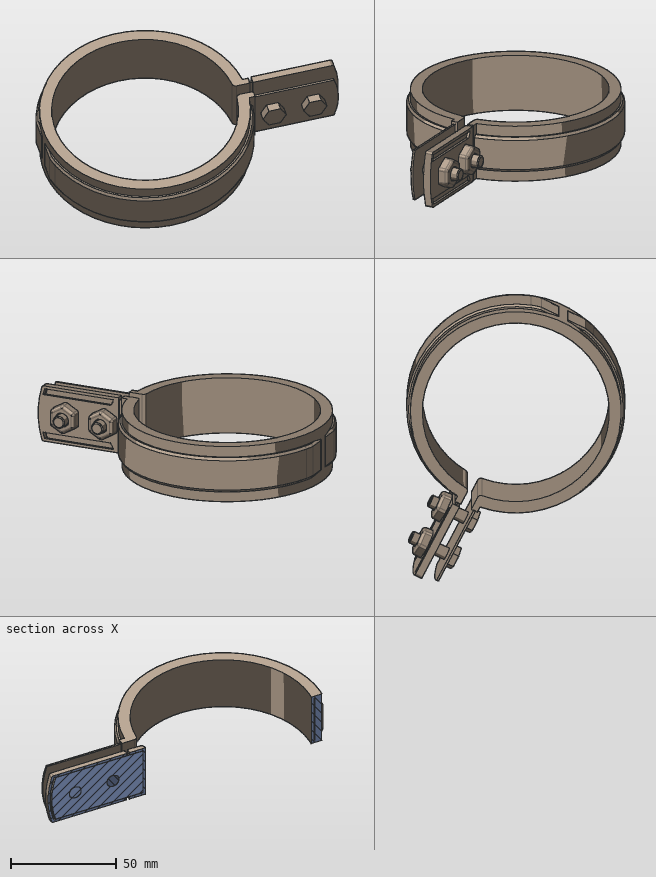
import cadquery as cq
import math


TOTAL_LENGTH = 146.5

WIDTH = 28.0
LINER_INNER_R = 44.4
LINER_OUTER_R = 50.1
LIP_INNER_X = 2.8
LIP_OUTER_X = 6.0
LIP_TOP_Y = 52.6
LIP_FILLET = 1.8

BAND_THICKNESS = 1.0
BAND_COVER = 1.3
BAND_INNER_R = LINER_INNER_R + BAND_COVER
BAND_OUTER_R = BAND_INNER_R + BAND_THICKNESS
BAND_EDGE_COVER = 1.39
BAND_WIDTH = WIDTH - 2 * BAND_EDGE_COVER
TAB_INNER_X = 4.1
TAB_OUTER_X = TAB_INNER_X + BAND_THICKNESS
TAB_TOP_Y = 94.1
END_SAG = 2.2

STRAP_OUTER_R = 51.9
STRAP_WIDTH = 17.5
STRAP_BEVEL_RADIAL = 0.9
STRAP_BEVEL_Z = 1.3
STRAP_BEND_X = 16.5
STRAP_FLAT_X = 11.7
STRAP_END_X = 2.3
STRAP_FLAT_Y = -50.4

PLATE_INNER_X = -LIP_INNER_X
PLATE_OUTER_X = -6.5
PLATE_BOTTOM_Y = 54.1
PLATE_TOP_Y = STRAP_FLAT_Y + TOTAL_LENGTH
PLATE_CORNER_R = 1.2
PLATE_END_WALL = 1.3
WINDOW_INNER_Z = 9.5
WINDOW_TIP_Y = 56.7
WINDOW_SIDE_Y = 58.3
WINDOW_BULGE = 0.3

BOLT_PITCH = 20.1
LOWER_BOLT_Y = 61.4
BOLT_YS = [LOWER_BOLT_Y, LOWER_BOLT_Y + BOLT_PITCH]
BOLT_D = 6.0
BOLT_TIP_D = 5.0
BOLT_TIP_X = -15.0
HEAD_FLATS = 10.0
HEAD_HEIGHT = 4.1
NUT_FLATS = 13.3
NUT_HEIGHT = 4.8
NUT_TAPER = 3.5
NUT_EDGE_R = 1.6
NUT_RIM_R = 1.5
NUT_HOLE_D = 7.0


def box(x0, x1, y0, y1, height):
    """Block between two X and two Y positions, centred on Z = 0."""
    return cq.Workplane("XY").box(x1 - x0, y1 - y0, height).translate(((x0 + x1) / 2, (y0 + y1) / 2, 0))


def tube(inner_r, outer_r, height):
    """Ring around the Z axis, centred on Z = 0."""
    return cq.Workplane("XY").circle(outer_r).circle(inner_r).extrude(height / 2, both=True)


def bowed_slab(x0, x1, y0, y1, height):
    """Slab between two X positions with a bowed far end that peaks at y1."""
    half = height / 2
    return (
        cq.Workplane("YZ", origin=(x0, 0, 0))
        .moveTo(y0, -half)
        .lineTo(y1 - END_SAG, -half)
        .threePointArc((y1, 0), (y1 - END_SAG, half))
        .lineTo(y0, half)
        .close()
        .extrude(x1 - x0)
    )


def hexagon_diameter(flats):
    """Diameter across the corners of a hexagon with the given size across the flats."""
    return flats / math.cos(math.pi / 6)


def bolt_hole(x0, x1, y):
    """Cutter of the bolt diameter between two X positions."""
    return cq.Workplane("YZ", origin=(x0, y, 0)).circle(BOLT_D / 2).extrude(x1 - x0)


def make_band():
    band = tube(BAND_INNER_R, BAND_OUTER_R, BAND_WIDTH)
    band = band.cut(box(-TAB_INNER_X, TAB_INNER_X, 0, LIP_TOP_Y, BAND_WIDTH))
    tab_root_y = math.sqrt(BAND_INNER_R**2 - TAB_INNER_X**2)
    for x0 in (-TAB_OUTER_X, TAB_INNER_X):
        x1 = x0 + BAND_THICKNESS
        band = band.union(bowed_slab(x0, x1, tab_root_y, TAB_TOP_Y, BAND_WIDTH))
        for y in BOLT_YS:
            band = band.cut(bolt_hole(x0, x1, y))
    return band


def make_liner(band):
    liner = tube(LINER_INNER_R, LINER_OUTER_R, WIDTH)
    lip_root_y = (LINER_INNER_R + LINER_OUTER_R) / 2
    for x0, x1 in ((-LIP_OUTER_X, -LIP_INNER_X), (LIP_INNER_X, LIP_OUTER_X)):
        liner = liner.union(box(x0, x1, lip_root_y, LIP_TOP_Y, WIDTH))
    liner = liner.cut(box(-LIP_INNER_X, LIP_INNER_X, 0, LIP_TOP_Y, WIDTH))
    lip_corner_y = math.sqrt(LINER_INNER_R**2 - LIP_INNER_X**2)
    for x in (-LIP_INNER_X, LIP_INNER_X):
        liner = liner.edges(cq.NearestToPointSelector((x, lip_corner_y, 0))).fillet(LIP_FILLET)
    return liner.cut(band)


def make_right_strap():
    start_y = math.sqrt(STRAP_OUTER_R**2 - LIP_OUTER_X**2)
    bend_y = -math.sqrt(STRAP_OUTER_R**2 - STRAP_BEND_X**2)
    strap = (
        cq.Workplane("XY", origin=(0, 0, -STRAP_WIDTH / 2))
        .moveTo(LIP_OUTER_X, start_y)
        .threePointArc((STRAP_OUTER_R, 0), (STRAP_BEND_X, bend_y))
        .tangentArcPoint((STRAP_FLAT_X, STRAP_FLAT_Y), relative=False)
        .lineTo(STRAP_END_X, STRAP_FLAT_Y)
        .lineTo(STRAP_END_X, 0)
        .lineTo(LIP_OUTER_X, 0)
        .close()
        .extrude(STRAP_WIDTH)
    )
    strap = strap.faces("|Z").edges("%CIRCLE or <Y").chamfer(STRAP_BEVEL_Z, STRAP_BEVEL_RADIAL)
    return strap.cut(cq.Workplane("XY").circle(LINER_OUTER_R).extrude(STRAP_WIDTH, both=True))


def window_cutter():
    """Opening over one edge of the tab, with a curved lower end, reaching to the plate tip."""
    edge_z = BAND_WIDTH / 2
    middle = ((WINDOW_SIDE_Y + WINDOW_TIP_Y) / 2 - WINDOW_BULGE, (WINDOW_INNER_Z + edge_z) / 2)
    return (
        cq.Workplane("YZ", origin=(PLATE_OUTER_X, 0, 0))
        .moveTo(PLATE_TOP_Y, WINDOW_INNER_Z)
        .lineTo(WINDOW_SIDE_Y, WINDOW_INNER_Z)
        .threePointArc(middle, (WINDOW_TIP_Y, edge_z))
        .lineTo(PLATE_TOP_Y, edge_z)
        .close()
        .extrude(-TAB_OUTER_X - PLATE_OUTER_X)
    )


def make_plate():
    plate = bowed_slab(PLATE_OUTER_X, PLATE_INNER_X, PLATE_BOTTOM_Y, PLATE_TOP_Y, WIDTH)
    plate = plate.edges("|X").edges(">Y").fillet(PLATE_CORNER_R)
    pocket_top_y = PLATE_TOP_Y - PLATE_END_WALL
    plate = plate.cut(bowed_slab(-TAB_OUTER_X, -TAB_INNER_X, PLATE_BOTTOM_Y, pocket_top_y, BAND_WIDTH))
    window_limit = bowed_slab(PLATE_OUTER_X, -TAB_OUTER_X, PLATE_BOTTOM_Y, pocket_top_y, BAND_WIDTH)
    window = window_cutter().intersect(window_limit)
    plate = plate.cut(window).cut(window.mirror("XY"))
    for y in BOLT_YS:
        plate = plate.cut(bolt_hole(PLATE_OUTER_X, PLATE_INNER_X, y))
    return plate


def make_bolt(y):
    shank_length = TAB_OUTER_X - BOLT_TIP_X
    shank = (
        cq.Workplane("YZ", origin=(BOLT_TIP_X, y, 0))
        .circle(BOLT_D / 2)
        .extrude(shank_length)
        .faces("<X")
        .chamfer((BOLT_D - BOLT_TIP_D) / 2)
    )
    head = (
        cq.Workplane("YZ", origin=(TAB_OUTER_X, y, 0))
        .polygon(6, hexagon_diameter(HEAD_FLATS))
        .extrude(HEAD_HEIGHT)
    )
    return shank.union(head)


def make_nut(y):
    nut = (
        cq.Workplane("YZ", origin=(PLATE_OUTER_X, y, 0))
        .transformed(rotate=(0, 0, 90))
        .polygon(6, hexagon_diameter(NUT_FLATS))
        .extrude(-NUT_HEIGHT, taper=NUT_TAPER)
    )
    nut = nut.edges("not #X").fillet(NUT_EDGE_R)
    nut = nut.faces("<X").edges().fillet(NUT_RIM_R)
    hole = cq.Workplane("YZ", origin=(PLATE_OUTER_X, y, 0)).circle(NUT_HOLE_D / 2).extrude(-NUT_HEIGHT)
    return nut.cut(hole)


band = make_band()
liner = make_liner(band)
right_strap = make_right_strap()
left_strap = right_strap.mirror("YZ")
plate = make_plate()
bolts = [make_bolt(y) for y in BOLT_YS]
nuts = [make_nut(y) for y in BOLT_YS]

result = cq.Compound.makeCompound(
    [
        band.val(),
        liner.val(),
        left_strap.val(),
        right_strap.val(),
        plate.val(),
        *[bolt.val() for bolt in bolts],
        *[nut.val() for nut in nuts],
    ]
)